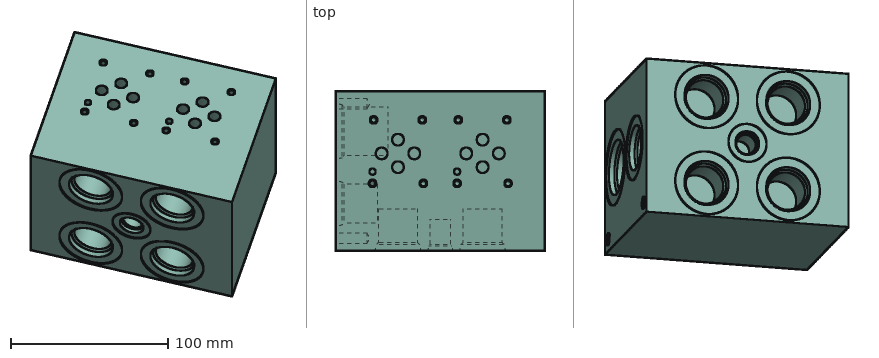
import cadquery as cq
import math

LENGTH = 133.4
WIDTH = 101.6
HEIGHT = 101.6

SPOT_FACE_DEPTH = 0.7
THREAD_LEAD_IN_ANGLE = 45.0
LARGE_PORT = {
    "spot_face": 49.0,
    "mouth": 35.5,
    "throat": 33.9,
    "bore": 31.1,
    "seal_depth": 3.3,
    "depth": 33.3,
}
MEDIUM_PORT = {
    "spot_face": 41.5,
    "mouth": 29.1,
    "throat": 27.5,
    "bore": 24.7,
    "seal_depth": 3.3,
    "depth": 26.7,
}
SMALL_PORT = {
    "spot_face": 25.1,
    "mouth": 15.6,
    "throat": 14.5,
    "bore": 12.8,
    "seal_depth": 2.5,
    "depth": 20.0,
}

WORK_PORT_SPACING_X = 53.9
WORK_PORT_SPACING_Z = 57.1
GAUGE_PORT_PLACE = (0.0, 0.0)

TANK_PORT_Y = 25.3
PRESSURE_PORT_Y = -20.7
MOUNTING_HOLE_SPACING_Y = 85.6
MOUNTING_HOLE_Z = -42.7

COUNTERSINK_ANGLE = 90.0
DRILL_POINT_ANGLE = 118.0
MOUNTING_HOLE = {"mouth": 7.9, "bore": 6.4, "depth": 20.0}
VALVE_BOLT_HOLE = {"mouth": 4.8, "bore": 3.7, "depth": 13.3}

STATION_SPACING_X = WORK_PORT_SPACING_X
STATION_Y = 11.2
BOLT_ROWS = ({"spacing": 31.0, "y": 21.3}, {"spacing": 32.4, "y": -19.1})
FLOW_HOLE_DIAMETER = 7.5
FLOW_HOLE_DEPTH = 13.3
FLOW_HOLE_SPACING_X = 20.8
FLOW_HOLE_SPACING_Y = 17.5
PIN_HOLE_DIAMETER = 4.0
PIN_HOLE_DEPTH = 5.3
PIN_HOLE_Y = -11.6

FRONT = cq.Plane(origin=(0, -WIDTH / 2, 0), xDir=(1, 0, 0), normal=(0, -1, 0))
LEFT = cq.Plane(origin=(-LENGTH / 2, 0, 0), xDir=(0, -1, 0), normal=(-1, 0, 0))
TOP = cq.Plane(origin=(0, 0, HEIGHT / 2), xDir=(1, 0, 0), normal=(0, 0, 1))


def cone_depth(large_diameter, small_diameter, half_angle):
    """Axial length of a cone between two diameters."""
    return (large_diameter - small_diameter) / 2 / math.tan(math.radians(half_angle))


def turned_hole(face, place, steps):
    """Solid of revolution sunk into a face, its wall and floor running through (diameter, depth) steps."""
    section_plane = cq.Plane(origin=face.toWorldCoords(place), xDir=face.xDir, normal=-face.yDir)
    outline = [(diameter / 2, -depth) for diameter, depth in steps]
    section = cq.Workplane(section_plane).polyline([(0, 0), *outline]).close()
    return section.revolve(360, (0, 0), (0, 1))


def port(face, place, size):
    seal_end = SPOT_FACE_DEPTH + size["seal_depth"]
    lead_in_end = seal_end + cone_depth(size["throat"], size["bore"], THREAD_LEAD_IN_ANGLE)
    steps = [
        (size["spot_face"], 0),
        (size["spot_face"], SPOT_FACE_DEPTH),
        (size["mouth"], SPOT_FACE_DEPTH),
        (size["throat"], seal_end),
        (size["bore"], lead_in_end),
        (size["bore"], size["depth"]),
        (0, size["depth"]),
    ]
    return turned_hole(face, place, steps)


def tapped_hole(face, place, size):
    countersink_end = cone_depth(size["mouth"], size["bore"], COUNTERSINK_ANGLE / 2)
    tip = size["depth"] + cone_depth(size["bore"], 0, DRILL_POINT_ANGLE / 2)
    steps = [
        (size["mouth"], 0),
        (size["bore"], countersink_end),
        (size["bore"], size["depth"]),
        (0, tip),
    ]
    return turned_hole(face, place, steps)


def plain_hole(face, place, diameter, depth):
    return turned_hole(face, place, [(diameter, 0), (diameter, depth), (0, depth)])


def front_face_holes():
    holes = [port(FRONT, GAUGE_PORT_PLACE, SMALL_PORT)]
    for x in (-WORK_PORT_SPACING_X / 2, WORK_PORT_SPACING_X / 2):
        for z in (-WORK_PORT_SPACING_Z / 2, WORK_PORT_SPACING_Z / 2):
            holes.append(port(FRONT, (x, z), MEDIUM_PORT))
    return holes


def left_face_holes():
    holes = [
        port(LEFT, (-TANK_PORT_Y, 0), LARGE_PORT),
        port(LEFT, (-PRESSURE_PORT_Y, 0), MEDIUM_PORT),
    ]
    for y in (-MOUNTING_HOLE_SPACING_Y / 2, MOUNTING_HOLE_SPACING_Y / 2):
        holes.append(tapped_hole(LEFT, (-y, MOUNTING_HOLE_Z), MOUNTING_HOLE))
    return holes


def valve_station_holes(station_x):
    holes = []
    for side in (-1, 1):
        for row in BOLT_ROWS:
            bolt_place = (station_x + side * row["spacing"] / 2, STATION_Y + row["y"])
            holes.append(tapped_hole(TOP, bolt_place, VALVE_BOLT_HOLE))
        for flow_place in (
            (station_x + side * FLOW_HOLE_SPACING_X / 2, STATION_Y),
            (station_x, STATION_Y + side * FLOW_HOLE_SPACING_Y / 2),
        ):
            holes.append(plain_hole(TOP, flow_place, FLOW_HOLE_DIAMETER, FLOW_HOLE_DEPTH))
    pin_place = (station_x - BOLT_ROWS[1]["spacing"] / 2, STATION_Y + PIN_HOLE_Y)
    holes.append(plain_hole(TOP, pin_place, PIN_HOLE_DIAMETER, PIN_HOLE_DEPTH))
    return holes


all_holes = front_face_holes() + left_face_holes()
for station_x in (-STATION_SPACING_X / 2, STATION_SPACING_X / 2):
    all_holes += valve_station_holes(station_x)

result = cq.Workplane("XY").box(LENGTH, WIDTH, HEIGHT)
for hole in all_holes:
    result = result.cut(hole)